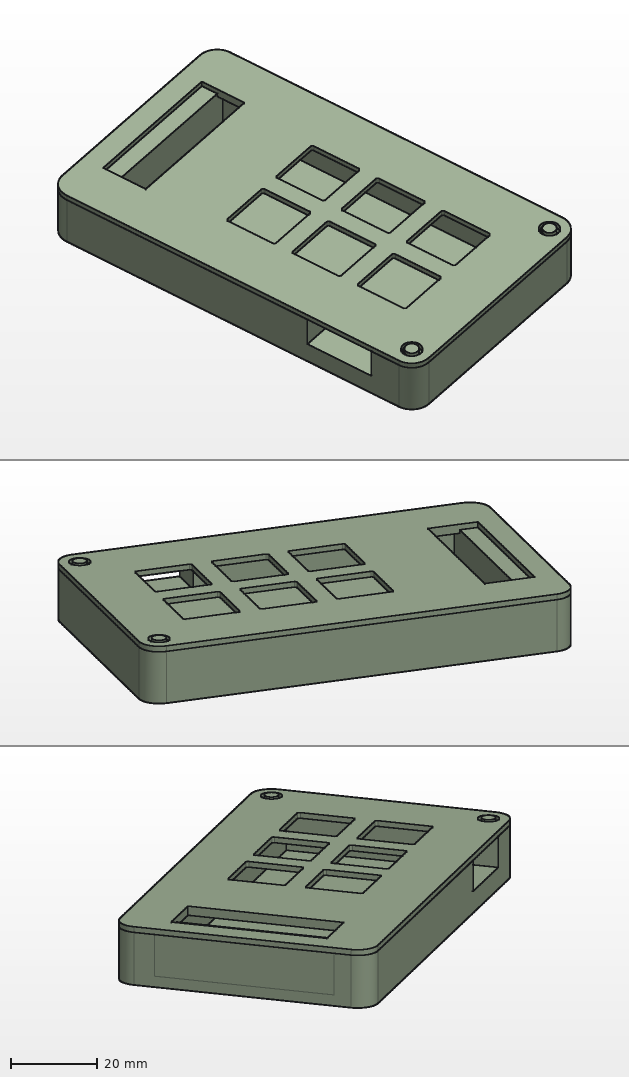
import cadquery as cq

LENGTH = 106.2
WIDTH = 62.8
CORNER_RADIUS = 5.0
HOUSING_HEIGHT = 12.8
LID_THICKNESS = 1.4

POCKET_END = 97.0
POCKET_WIDTH = 43.7
POCKET_FLOOR = 2.8
END_WALL = 10.4
POCKET_OFFSET_Y = -0.4

WINDOW_START = 74.7
WINDOW_LENGTH = 18.5
WINDOW_SILL = 5.3

POST_DIAMETER = 3.4
POST_HOLE_DIAMETER = 5.0
POST_PROJECTION = 0.2
POST_INSET = CORNER_RADIUS
POST_STEP_HEIGHT = 0.6
FOOT_DIAMETER = 5.8
FOOT_HEIGHT = 0.2
FOOT_SHIFT_X = -0.5

SLOT_START = 5.9
SLOT_LENGTH = 12.3
SLOT_WIDTH = 37.9
SLOT_OFFSET_Y = 0.3
COLLAR_DEPTH = 0.8
COLLAR_WALL = 1.1

KEY_SIZE = 14.0
KEY_PITCH = 18.9
KEY_CORNER_RADIUS = 0.5
KEY_COLUMNS = 3
KEY_ROWS = 2
KEY_CENTER_X = 65.6
KEY_CENTER_Y = 0.3

POST_X = LENGTH - POST_INSET
POST_Y = WIDTH / 2 - POST_INSET
POST_PLACES = [(POST_X, POST_Y), (POST_X, -POST_Y)]


def block_at(x_start, x_length, y_center, y_width, z_start, height):
    """Plain block that starts at x_start and is centred on y_center."""
    block = cq.Workplane("XY").box(x_length, y_width, height, centered=(False, True, False))
    return block.translate((x_start, y_center, z_start))


def rounded_plate(z_start, height):
    plate = block_at(0, LENGTH, 0, WIDTH, z_start, height)
    return plate.edges("|Z").fillet(CORNER_RADIUS)


def post_cylinders(diameter, height, shift_x=0.0):
    """Upright cylinders on the housing rim, one per post, moved by shift_x."""
    places = [(x + shift_x, y) for x, y in POST_PLACES]
    return (cq.Workplane("XY").workplane(offset=HOUSING_HEIGHT).pushPoints(places)
            .circle(diameter / 2).extrude(height))


def pocket_section(x_start, x_length):
    """Stretch of the pocket cross-section, from the floor to the housing rim."""
    return block_at(x_start, x_length, POCKET_OFFSET_Y, POCKET_WIDTH,
                    POCKET_FLOOR, HOUSING_HEIGHT - POCKET_FLOOR)


def make_housing():
    body = rounded_plate(0, HOUSING_HEIGHT)
    body = body.cut(pocket_section(0, POCKET_END))

    window = block_at(WINDOW_START, WINDOW_LENGTH, -WIDTH / 2, WIDTH / 2,
                      WINDOW_SILL, HOUSING_HEIGHT - WINDOW_SILL)
    body = body.cut(window)

    posts = post_cylinders(POST_DIAMETER, LID_THICKNESS + POST_PROJECTION)
    steps = post_cylinders(POST_DIAMETER, POST_STEP_HEIGHT, FOOT_SHIFT_X)
    foot = (cq.Workplane("XY").center(POST_X + FOOT_SHIFT_X, -POST_Y)
            .circle(FOOT_DIAMETER / 2).extrude(-FOOT_HEIGHT))
    body = body.union(posts).union(steps).union(foot)

    end_wall = pocket_section(0, END_WALL)
    return body.union(end_wall, clean=False)


def make_collar():
    """Block under the lid beside the end wall; the slot cut turns it into a U-shaped rim."""
    length = SLOT_START + SLOT_LENGTH + COLLAR_WALL - END_WALL
    width = SLOT_WIDTH + 2 * COLLAR_WALL
    return block_at(END_WALL, length, SLOT_OFFSET_Y, width,
                    HOUSING_HEIGHT - COLLAR_DEPTH, COLLAR_DEPTH)


def make_lid():
    lid = rounded_plate(HOUSING_HEIGHT, LID_THICKNESS).union(make_collar())

    slot = block_at(SLOT_START, SLOT_LENGTH, SLOT_OFFSET_Y, SLOT_WIDTH,
                    HOUSING_HEIGHT - COLLAR_DEPTH, COLLAR_DEPTH + LID_THICKNESS)
    keys = (cq.Workplane("XY").workplane(offset=HOUSING_HEIGHT).center(KEY_CENTER_X, KEY_CENTER_Y)
            .rarray(KEY_PITCH, KEY_PITCH, KEY_COLUMNS, KEY_ROWS)
            .rect(KEY_SIZE, KEY_SIZE).extrude(LID_THICKNESS)
            .edges("|Z").fillet(KEY_CORNER_RADIUS))
    post_holes = post_cylinders(POST_HOLE_DIAMETER, LID_THICKNESS)
    return lid.cut(slot).cut(keys).cut(post_holes)


housing = make_housing()
lid = make_lid()
result = cq.Compound.makeCompound([housing.val(), lid.val()])